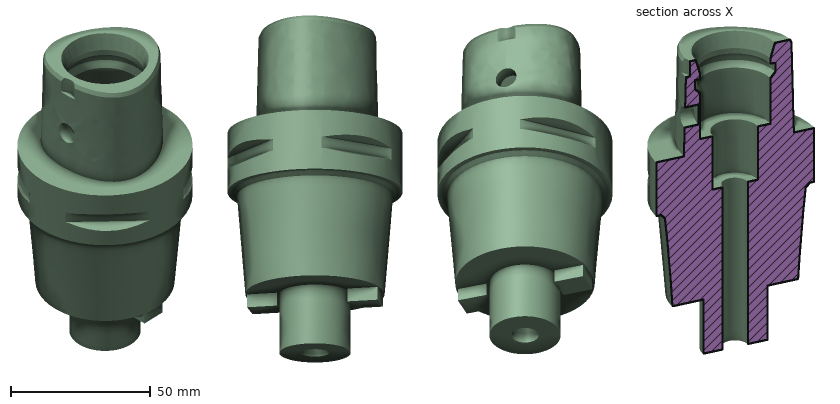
import cadquery as cq
import math

OVERALL_LENGTH = 120.0

SHANK_LENGTH = 38.0
SHANK_RADIUS = 22.0
LOBE_OFFSET = 1.5
TAPER_PER_SIDE = 1 / 40
SECTION_POINTS = 72
LEAD_HEIGHT = 1.5
LEAD_INSET = 0.7

FLANGE_DIAMETER = 63.0
FLANGE_RADIUS = FLANGE_DIAMETER / 2
FLANGE_HEIGHT = 22.0
GRIP_DEPTH_Z = 12.0
GRIP_FLAT_DISTANCE = 27.6
GRIP_FLARE_START = 28.3
GRIP_FLOOR_HEIGHT = 4.3
GRIP_MOUTH_HEIGHT = 7.3
GRIP_LENGTH = 30.0
GRIP_COUNT = 4
GRIP_FIRST_ANGLE = 45

NECK_HEIGHT = 1.5
BODY_TOP_RADIUS = 28.1
BODY_BOTTOM_RADIUS = 25.1
BODY_BOTTOM_Z = -60.0
PILOT_RADIUS = 12.8
KEY_SPAN = 48.0
KEY_CLEARANCE = 0.1
KEY_WIDTH = 9.5
KEY_HEIGHT = 4.8

BORE_MOUTH_RADIUS = 15.7
BORE_RADIUS = 13.9
BORE_MOUTH_DEPTH = 6.1
GROOVE_RADIUS = 15.8
GROOVE_START = 8.3
GROOVE_FLOOR_END = 11.9
GROOVE_END = 14.0
BORE_DEPTH = 32.4
STEP_RADIUS = 8.9
STEP_DEPTH = 54.0
THROUGH_RADIUS = 4.9

NOTCH_RADIUS = 4.8
NOTCH_INNER_Y = -18.1
NOTCH_HEIGHT = 6.1
DIMPLE_RADIUS = 4.0
DIMPLE_DEPTH = 22.5
DIMPLE_FLOOR_Y = -14.8

FLANGE_BOTTOM_Z = -FLANGE_HEIGHT
PILOT_BOTTOM_Z = SHANK_LENGTH - OVERALL_LENGTH


def lobed_section(z, inset=0.0):
    """Closed three-lobed wire at height z with one lobe pointing to +Y."""
    radius = SHANK_RADIUS - TAPER_PER_SIDE * z - inset

    def point(t):
        angle = 2 * math.pi * t - math.pi / 2
        x = radius * math.cos(angle) - LOBE_OFFSET * math.sin(2 * angle)
        y = radius * math.sin(angle) - LOBE_OFFSET * math.cos(2 * angle)
        return (x, y, z)

    return cq.Workplane("XY").parametricCurve(point, N=SECTION_POINTS).val()


def loft_between(lower, upper):
    return cq.Workplane(cq.Solid.makeLoft([lower, upper], True))


def make_shank():
    lead_z = SHANK_LENGTH - LEAD_HEIGHT
    taper = loft_between(lobed_section(0), lobed_section(lead_z))
    lead = loft_between(lobed_section(lead_z), lobed_section(SHANK_LENGTH, LEAD_INSET))
    return taper.union(lead)


def make_body():
    """Flange, neck cone, tapered body and pilot as one turned shape."""
    neck_z = FLANGE_BOTTOM_Z - NECK_HEIGHT
    return (
        cq.Workplane("XZ")
        .polyline([
            (0, 0),
            (FLANGE_RADIUS, 0),
            (FLANGE_RADIUS, FLANGE_BOTTOM_Z),
            (BODY_TOP_RADIUS + NECK_HEIGHT, FLANGE_BOTTOM_Z),
            (BODY_TOP_RADIUS, neck_z),
            (BODY_BOTTOM_RADIUS, BODY_BOTTOM_Z),
            (PILOT_RADIUS, BODY_BOTTOM_Z),
            (PILOT_RADIUS, PILOT_BOTTOM_Z),
            (0, PILOT_BOTTOM_Z),
        ])
        .close()
        .revolve(360, (0, 0), (0, 1))
    )


def make_keys():
    """Pair of drive keys hanging from the body on either side of the pilot."""
    inner_x = PILOT_RADIUS + KEY_CLEARANCE
    length = KEY_SPAN / 2 - inner_x
    return (
        cq.Workplane("XY", origin=(0, 0, BODY_BOTTOM_Z))
        .pushPoints([(side * (inner_x + length / 2), 0) for side in (-1, 1)])
        .rect(length, KEY_WIDTH)
        .extrude(-KEY_HEIGHT)
    )


def make_bore():
    """Stepped through bore with a tapered mouth and a clamping groove."""
    profile = [
        (BORE_MOUTH_RADIUS, 0),
        (BORE_RADIUS, BORE_MOUTH_DEPTH),
        (BORE_RADIUS, GROOVE_START),
        (GROOVE_RADIUS, GROOVE_START),
        (GROOVE_RADIUS, GROOVE_FLOOR_END),
        (BORE_RADIUS, GROOVE_END),
        (BORE_RADIUS, BORE_DEPTH),
        (STEP_RADIUS, BORE_DEPTH),
        (STEP_RADIUS, STEP_DEPTH),
        (THROUGH_RADIUS, STEP_DEPTH),
        (THROUGH_RADIUS, OVERALL_LENGTH),
    ]
    points = [(radius, SHANK_LENGTH - depth) for radius, depth in profile]
    return (
        cq.Workplane("XZ")
        .polyline([(0, SHANK_LENGTH)] + points + [(0, PILOT_BOTTOM_Z)])
        .close()
        .revolve(360, (0, 0), (0, 1))
    )


def make_grip_slot(angle):
    """Flat-bottomed slot with upper and lower walls that start square and then flare outward."""
    half_floor = GRIP_FLOOR_HEIGHT / 2
    half_mouth = GRIP_MOUTH_HEIGHT / 2
    slot = (
        cq.Workplane("XZ", origin=(0, GRIP_LENGTH / 2, -GRIP_DEPTH_Z))
        .polyline([
            (GRIP_FLAT_DISTANCE, -half_floor),
            (GRIP_FLARE_START, -half_floor),
            (FLANGE_RADIUS, -half_mouth),
            (FLANGE_RADIUS, half_mouth),
            (GRIP_FLARE_START, half_floor),
            (GRIP_FLAT_DISTANCE, half_floor),
        ])
        .close()
        .extrude(GRIP_LENGTH)
    )
    return slot.rotate((0, 0, 0), (0, 0, 1), angle)


def make_notch():
    return (
        cq.Workplane("XY", origin=(0, NOTCH_INNER_Y - NOTCH_RADIUS, SHANK_LENGTH))
        .circle(NOTCH_RADIUS)
        .extrude(-NOTCH_HEIGHT)
    )


def make_dimple():
    return (
        cq.Workplane("XZ", origin=(0, DIMPLE_FLOOR_Y, SHANK_LENGTH - DIMPLE_DEPTH))
        .circle(DIMPLE_RADIUS)
        .extrude(FLANGE_RADIUS)
    )


part = make_body().union(make_shank()).union(make_keys())
part = part.cut(make_bore()).cut(make_notch()).cut(make_dimple())
for index in range(GRIP_COUNT):
    part = part.cut(make_grip_slot(GRIP_FIRST_ANGLE + 360 / GRIP_COUNT * index))

result = part